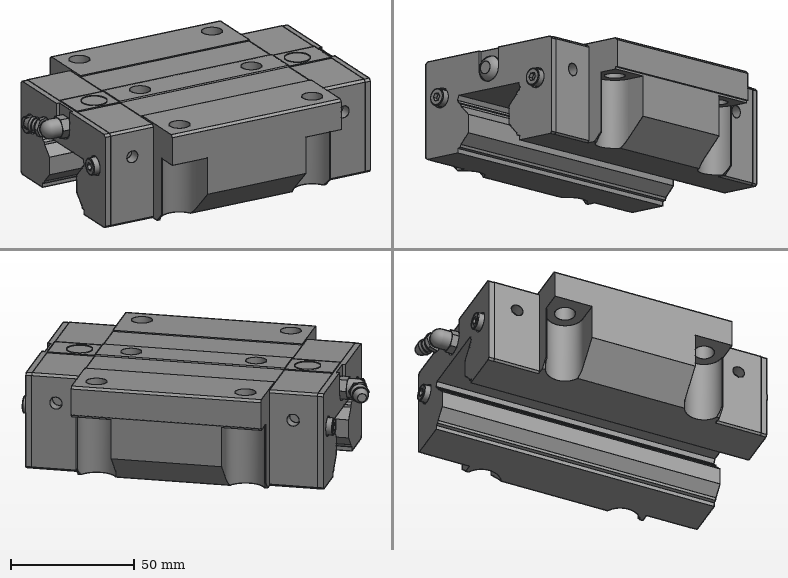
import cadquery as cq
import math

FLANGE_HALF_WIDTH = 50.0
BLOCK_HEIGHT = 41.5
BLOCK_HALF_LENGTH = 39.5
FLANGE_BOTTOM_Z = 29.3
REFERENCE_STEP = 0.85
BEVEL_FOOT_X = 37.5
FLANGE_CHAMFER = 1.0

RELIEF_HALF_WIDTH = 25.2
RELIEF_DEPTH = 0.5
STRIP_TOP_HALF_WIDTH = 6.9
STRIP_FOOT_HALF_WIDTH = 7.3

HOLE_DIAMETER = 8.5
CORNER_HOLE_X = 41.0
CORNER_HOLE_Y = 31.0
MIDDLE_HOLE_Y = 26.0
SCOOP_RADIUS = 8.0
SCOOP_TOP_Z = 28.4

CAP_HALF_WIDTH = 34.6
CAP_TOP_Z = 40.8
CAP_STRIP_HEIGHT = 0.3
CAP_LENGTH = 20.0
PLATE_INSET = 0.1
PLATE_THICKNESS = 2.5
CAP_TOP_CHAMFER = 1.0
CAP_BOTTOM_CHAMFER = 0.8
CAP_END_Y = BLOCK_HALF_LENGTH + CAP_LENGTH
PLATE_END_Y = CAP_END_Y + PLATE_THICKNESS

TOP_PORT_DIAMETER = 10.6
TOP_PORT_Y = 47.5
TOP_PORT_DEPTH = 0.3
SIDE_PORT_DIAMETER = 5.1
SIDE_PORT_Y = 49.4
SIDE_PORT_Z = 28.8
SIDE_PORT_DEPTH = 5.0

CHANNEL_HALF_OUTLINE = [
    (16.9, 0),
    (16.9, 1.9),
    (15.6, 2.2),
    (15.2, 3.3),
    (11.1, 7.5),
    (11.1, 15.2),
    (15.2, 19.3),
    (15.4, 20.2),
    (16.6, 21.0),
    (17.1, 22.0),
    (16.3, 24.0),
]

SCREW_X = 26.2
SCREW_Z = 24.5
SCREW_HEAD_DIAMETER = 7.1
SCREW_CLEARANCE_DIAMETER = 8.2
SCREW_HEAD_PROUD = 2.65
SCREW_EDGE_CHAMFER = 0.35
SCREW_SOCKET_DIAMETER = 3.5
SCREW_SOCKET_DEPTH = 2.0

PORT_Z = 32.6
NOTCH_RADIUS = 5.3
NOTCH_DEPTH = 1.3
NOTCH_FLOOR_Y = PLATE_END_Y - NOTCH_DEPTH

PLUG_RIM_HEIGHT = 0.4
PLUG_HEIGHT = 3.4
PLUG_TIP_RADIUS = 2.6
PLUG_DOME_BULGE = 0.35

ELBOW_HEX_FLATS = 8.2
ELBOW_HEX_LENGTH = 3.8
ELBOW_RADIUS = 4.0
ELBOW_CENTRE_Y = -68.16
NIPPLE_ANGLE = 22.0
NIPPLE_HEX_FLATS = 7.2
NIPPLE_HEX_START = 3.3
NIPPLE_HEX_END = 5.0
NIPPLE_NECK_RADIUS = 2.6
NIPPLE_NECK_START = 6.2
NIPPLE_NECK_END = 7.5
NIPPLE_HEAD_RADIUS = 3.2
NIPPLE_HEAD_END = 8.9
NIPPLE_HEAD_BULGE = 0.1
NIPPLE_TIP_RADIUS = 1.8
NIPPLE_TIP = 12.2

SIDES = (-1, 1)
OVERLAP = 0.5


def box(x_min, x_max, y_min, y_max, z_min, z_max):
    size = (x_max - x_min, y_max - y_min, z_max - z_min)
    return cq.Workplane("XY").box(*size, centered=False).translate((x_min, y_min, z_min))


def cylinder(radius, start, direction, length):
    return cq.Workplane(cq.Solid.makeCylinder(radius, length, cq.Vector(*start), cq.Vector(*direction)))


def across_corners(across_flats):
    """Diameter across the corners of a hexagon of the given size across flats."""
    return across_flats / math.cos(math.radians(30))


def make_strip(y_start, y_end, foot_z, top_z):
    """Raised middle strip with sloping flanks, sunk slightly into the body below."""
    root_z = foot_z - OVERLAP
    outline = [
        (-STRIP_FOOT_HALF_WIDTH, root_z),
        (-STRIP_FOOT_HALF_WIDTH, foot_z),
        (-STRIP_TOP_HALF_WIDTH, top_z),
        (STRIP_TOP_HALF_WIDTH, top_z),
        (STRIP_FOOT_HALF_WIDTH, foot_z),
        (STRIP_FOOT_HALF_WIDTH, root_z),
    ]
    plane = cq.Workplane("XZ", origin=(0, y_end, 0))
    return plane.polyline(outline).close().extrude(y_end - y_start)


def make_block():
    left_x = -FLANGE_HALF_WIDTH + REFERENCE_STEP
    outline = [
        (-BEVEL_FOOT_X, 0),
        (left_x, -left_x - BEVEL_FOOT_X),
        (left_x, FLANGE_BOTTOM_Z),
        (-FLANGE_HALF_WIDTH, FLANGE_BOTTOM_Z),
        (-FLANGE_HALF_WIDTH, BLOCK_HEIGHT),
        (FLANGE_HALF_WIDTH, BLOCK_HEIGHT),
        (FLANGE_HALF_WIDTH, FLANGE_HALF_WIDTH - BEVEL_FOOT_X),
        (BEVEL_FOOT_X, 0),
    ]
    block = cq.Workplane("XZ").polyline(outline).close().extrude(BLOCK_HALF_LENGTH, both=True)
    block = block.faces(">Z").edges("|Y").chamfer(FLANGE_CHAMFER)
    relief_z = BLOCK_HEIGHT - RELIEF_DEPTH
    block = block.cut(box(
        -RELIEF_HALF_WIDTH, RELIEF_HALF_WIDTH, -BLOCK_HALF_LENGTH, BLOCK_HALF_LENGTH,
        relief_z, BLOCK_HEIGHT,
    ))
    return block.union(make_strip(-BLOCK_HALF_LENGTH, BLOCK_HALF_LENGTH, relief_z, BLOCK_HEIGHT))


def cut_bolt_scoops(block):
    for x_side in SIDES:
        for y_side in SIDES:
            x = x_side * CORNER_HOLE_X
            y = y_side * CORNER_HOLE_Y
            block = block.cut(cylinder(SCOOP_RADIUS, (x, y, 0), (0, 0, 1), SCOOP_TOP_Z))
            x_min, x_max = sorted((x, x_side * FLANGE_HALF_WIDTH))
            y_min, y_max = sorted((y - y_side * SCOOP_RADIUS, y_side * BLOCK_HALF_LENGTH))
            block = block.cut(box(x_min, x_max, y_min, y_max, 0, SCOOP_TOP_Z))
    return block


def cut_mounting_holes(block):
    corners = [(x * CORNER_HOLE_X, y * CORNER_HOLE_Y) for x in SIDES for y in SIDES]
    middles = [(0, y * MIDDLE_HOLE_Y) for y in SIDES]
    holes = cq.Workplane("XY").pushPoints(corners + middles).circle(HOLE_DIAMETER / 2).extrude(BLOCK_HEIGHT)
    return block.cut(holes)


def bevelled_slab(half_width, height, y_start, y_end):
    slab = box(-half_width, half_width, y_start, y_end, 0, height)
    slab = slab.faces(">Z").edges("|Y").chamfer(CAP_TOP_CHAMFER)
    return slab.faces("<Z").edges("|Y").chamfer(CAP_BOTTOM_CHAMFER)


def make_end():
    """End cap and end plate at the +Y end, without screws and fittings."""
    plate_half_width = CAP_HALF_WIDTH - PLATE_INSET
    plate_top_z = CAP_TOP_Z - PLATE_INSET
    end = bevelled_slab(CAP_HALF_WIDTH, CAP_TOP_Z, BLOCK_HALF_LENGTH, CAP_END_Y)
    strip_top_z = CAP_TOP_Z + CAP_STRIP_HEIGHT
    end = end.union(make_strip(BLOCK_HALF_LENGTH, CAP_END_Y, CAP_TOP_Z, strip_top_z))
    end = end.union(bevelled_slab(plate_half_width, plate_top_z, CAP_END_Y, PLATE_END_Y))
    end = end.cut(cylinder(TOP_PORT_DIAMETER / 2, (0, TOP_PORT_Y, strip_top_z), (0, 0, -1), TOP_PORT_DEPTH))
    for side in SIDES:
        start = (side * CAP_HALF_WIDTH, SIDE_PORT_Y, SIDE_PORT_Z)
        end = end.cut(cylinder(SIDE_PORT_DIAMETER / 2, start, (-side, 0, 0), SIDE_PORT_DEPTH))
    end = end.cut(cylinder(NOTCH_RADIUS, (0, NOTCH_FLOOR_Y, PORT_Z), (0, 1, 0), NOTCH_DEPTH))
    return end.cut(box(-NOTCH_RADIUS, NOTCH_RADIUS, NOTCH_FLOOR_Y, PLATE_END_Y, PORT_Z, CAP_TOP_Z))


def add_screws(end):
    head_length = PLATE_THICKNESS + SCREW_HEAD_PROUD
    for side in SIDES:
        seat = (side * SCREW_X, CAP_END_Y, SCREW_Z)
        end = end.cut(cylinder(SCREW_CLEARANCE_DIAMETER / 2, seat, (0, 1, 0), PLATE_THICKNESS))
        head = cylinder(SCREW_HEAD_DIAMETER / 2, seat, (0, 1, 0), head_length)
        head = head.faces(">Y").chamfer(SCREW_EDGE_CHAMFER)
        head_face = cq.Workplane("XZ", origin=(seat[0], seat[1] + head_length, seat[2]))
        head = head.cut(head_face.polygon(6, SCREW_SOCKET_DIAMETER).extrude(SCREW_SOCKET_DEPTH))
        end = end.union(head)
    return end


def make_plug():
    base_y = NOTCH_FLOOR_Y - OVERLAP
    rim_y = NOTCH_FLOOR_Y + PLUG_RIM_HEIGHT
    tip_y = NOTCH_FLOOR_Y + PLUG_HEIGHT
    middle_radius = (NOTCH_RADIUS + PLUG_TIP_RADIUS) / 2
    middle_y = (rim_y + tip_y) / 2
    profile = (
        cq.Workplane("XY")
        .moveTo(0, base_y)
        .lineTo(NOTCH_RADIUS, base_y)
        .lineTo(NOTCH_RADIUS, rim_y)
        .threePointArc(
            (middle_radius + PLUG_DOME_BULGE, middle_y + PLUG_DOME_BULGE),
            (PLUG_TIP_RADIUS, tip_y),
        )
        .lineTo(0, tip_y)
        .close()
    )
    return profile.revolve(360, (0, 0, 0), (0, 1, 0)).translate((0, 0, PORT_Z))


def make_elbow():
    hex_base_y = -NOTCH_FLOOR_Y + OVERLAP
    hex_plane = cq.Workplane("XZ", origin=(0, hex_base_y, PORT_Z))
    elbow = hex_plane.polygon(6, across_corners(ELBOW_HEX_FLATS)).extrude(ELBOW_HEX_LENGTH + OVERLAP)
    stem_length = hex_base_y - ELBOW_CENTRE_Y
    elbow = elbow.union(cylinder(ELBOW_RADIUS, (0, hex_base_y, PORT_Z), (0, -1, 0), stem_length))
    ball = cq.Workplane("XY").sphere(ELBOW_RADIUS).translate((0, ELBOW_CENTRE_Y, PORT_Z))
    return elbow.union(ball)


def make_nipple():
    """Nipple built along -X from the elbow centre, then tilted into place."""
    middle_distance = (NIPPLE_HEAD_END + NIPPLE_TIP) / 2 + NIPPLE_HEAD_BULGE
    middle_radius = (NIPPLE_HEAD_RADIUS + NIPPLE_TIP_RADIUS) / 2 + NIPPLE_HEAD_BULGE
    profile = (
        cq.Workplane("XY")
        .lineTo(0, NIPPLE_NECK_RADIUS)
        .lineTo(-NIPPLE_HEX_START, NIPPLE_NECK_RADIUS)
        .lineTo(-NIPPLE_HEX_END, NIPPLE_HEX_FLATS / 2)
        .lineTo(-NIPPLE_NECK_START, NIPPLE_NECK_RADIUS)
        .lineTo(-NIPPLE_NECK_END, NIPPLE_NECK_RADIUS)
        .lineTo(-NIPPLE_NECK_END, NIPPLE_HEAD_RADIUS)
        .lineTo(-NIPPLE_HEAD_END, NIPPLE_HEAD_RADIUS)
        .threePointArc((-middle_distance, middle_radius), (-NIPPLE_TIP, NIPPLE_TIP_RADIUS))
        .lineTo(-NIPPLE_TIP, 0)
        .close()
    )
    nipple = profile.revolve(360, (0, 0, 0), (1, 0, 0))
    hex_plane = cq.Workplane("YZ", origin=(-NIPPLE_HEX_END, 0, 0))
    collar = hex_plane.polygon(6, across_corners(NIPPLE_HEX_FLATS)).extrude(NIPPLE_HEX_END - NIPPLE_HEX_START)
    nipple = nipple.union(collar)
    nipple = nipple.rotate((0, 0, 0), (0, 0, 1), NIPPLE_ANGLE)
    return nipple.translate((0, ELBOW_CENTRE_Y, PORT_Z))


def make_channel():
    mirrored = [(-x, z) for x, z in reversed(CHANNEL_HALF_OUTLINE)]
    outline = cq.Workplane("XZ").polyline(CHANNEL_HALF_OUTLINE + mirrored).close()
    return outline.extrude(PLATE_END_Y, both=True)


block = cut_mounting_holes(cut_bolt_scoops(make_block()))
far_end = add_screws(make_end())
near_end = far_end.mirror("XZ")
carriage = block.union(far_end).union(near_end).cut(make_channel())
result = carriage.union(make_plug()).union(make_elbow()).union(make_nipple())